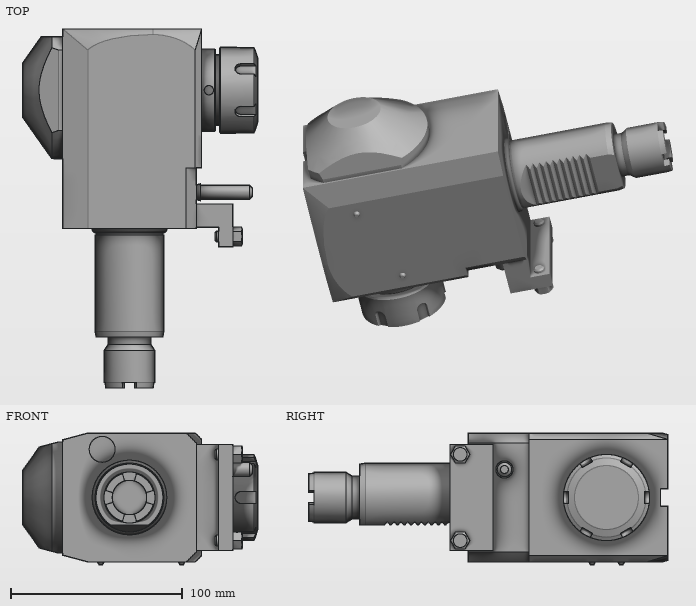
import cadquery as cq
import math


HEIGHT = 75.0
LEFT_X = -38.9
RIGHT_X = 42.0
BACK_Y = 116.2
LEFT_BEVEL_WIDTH = 14.6
BEVEL_ANGLE = math.radians(15)
RIGHT_CHAMFER = 3.8
STEP_X = 38.9
STEP_LENGTH = 35.3
STEP_CHAMFER = 5.9
SLOT_WIDTH = 10.0
SLOT_DEPTH = 4.2
CROWN_LENGTH = 12.3
CROWN_PEAK_X = 13.8
CROWN_RISE_BACK = 3.0
CROWN_RISE_FRONT = 2.7
PLUG_X = -15.9
PLUG_Z = 28.0
PLUG_RADIUS = 7.5
PLUG_DEPTH = 0.5
NUB_BASE_RADIUS = 1.9
NUB_TIP_RADIUS = 1.0
NUB_HEIGHT = 1.7
NUB_CENTRES = [(-16.7, 89.0), (30.3, 72.1)]

SPINDLE_Y = 80.5
CAP_TIP_X = -62.0
CAP_TIP_RADIUS = 15.9
CAP_RIM_X = -45.1
CAP_RADIUS = 40.0
CAP_BACK_OFFSET = 31.1
CAP_FLAT_X = -41.2
CAP_HALF_HEIGHT = 32.4
COLLAR_RADIUS = 24.0
COLLAR_END_X = 50.2
COLLAR_CHAMFER = 0.6
NECK_RADIUS = 20.7
NUT_START_X = 52.2
NUT_RADIUS = 25.0
NUT_BACK_CHAMFER = 0.8
NUT_RIM_X = 72.3
NUT_SHOULDER_X = 73.4
NUT_SHOULDER_RADIUS = 23.0
NUT_END_X = 74.6
NUT_END_RADIUS = 18.5
NUT_SLOT_COUNT = 6
NUT_SLOT_WIDTH = 7.0
NUT_SLOT_START_X = 61.5
NUT_SLOT_DEPTH = 3.0
COLLAR_HOLE_X = 46.2
COLLAR_HOLE_RADIUS = 2.7
COLLAR_HOLE_DEPTH = 2.0

SHANK_RADIUS = 20.0
FLANGE_RADIUS = 21.7
FLANGE_END = 2.5
RELIEF_END = 3.8
RELIEF_RADIUS = 19.6
SHANK_CHAMFER_START = 59.8
SHANK_END = 63.1
SHANK_END_RADIUS = 19.5
STEM_RADIUS = 12.5
STEM_END = 67.5
DRIVE_START = 71.0
DRIVE_RADIUS = 14.8
DRIVE_TAPER_START = 89.7
DRIVE_END = 92.8
DRIVE_END_RADIUS = 14.5
DRIVE_BORE_RADIUS = 10.0
DRIVE_BORE_DEPTH = 4.2
DRIVE_SLOT_ANGLE = 33
DRIVE_SLOT_COUNT = 4

FLAT_Z = -16.0
TOOTH_DEPTH = 1.9
TOOTH_PITCH = 4.0
TOOTH_COUNT = 10
FIRST_VALLEY = 11.3

PIN_Y = 21.1
PIN_Z = 16.3
PIN_RADIUS = 4.2
PIN_END_X = 71.7
PIN_TIP_CHAMFER = 1.9
PIN_BASE_RADIUS = 5.0
PIN_BASE_END_X = 41.2

BRACKET_HALF_HEIGHT = 31.0
BRACKET_END_X = 60.2
BRACKET_TOP_Y = 14.5
BRACKET_ARM_Y = 0.6
BRACKET_LEG_X = 51.8
BRACKET_LEG_Y = -10.7
SCREW_Y = -4.5
SCREW_Z = 25.0
SCREW_HEAD_DIAMETER = 11.3
SCREW_HEAD_HEIGHT = 5.6
SCREW_HEAD_CHAMFER = 0.8
SCREW_TIP_RADIUS = 3.1
SCREW_TIP_LENGTH = 2.0
SCREW_TIP_CHAMFER = 0.8

OVERLAP = 2.0

HALF_HEIGHT = HEIGHT / 2
LEFT_BEVEL_DROP = LEFT_BEVEL_WIDTH * math.tan(BEVEL_ANGLE)


def x_plane(x, y=0.0, z=0.0):
    """Plane facing +X, with local axes along Y and Z."""
    return cq.Workplane("YZ", origin=(x, y, z))


def revolve_about_x(profile, y, z=0.0):
    """Turn (x, radius) points about an axis parallel to X."""
    closed = [(profile[0][0], 0)] + profile + [(profile[-1][0], 0)]
    turned = cq.Workplane("XY").polyline(closed).close().revolve(360, (0, 0), (1, 0))
    return turned.translate((0, y, z))


def box(x_range, y_range, z_range):
    (x0, x1), (y0, y1), (z0, z1) = x_range, y_range, z_range
    return cq.Workplane("XY").box(x1 - x0, y1 - y0, z1 - z0, centered=False).translate((x0, y0, z0))


def mirrored_outline(upper):
    """Close a left-to-right upper outline with its mirror image below Z = 0."""
    return upper + [(x, -z) for x, z in reversed(upper)]


def housing_prism(right_x, chamfer, y_start, y_end):
    upper = [
        (LEFT_X, HALF_HEIGHT - LEFT_BEVEL_DROP),
        (LEFT_X + LEFT_BEVEL_WIDTH, HALF_HEIGHT),
        (right_x - chamfer, HALF_HEIGHT),
        (right_x, HALF_HEIGHT - chamfer),
    ]
    outline = cq.Workplane("XZ", origin=(0, y_start, 0)).polyline(mirrored_outline(upper)).close()
    return outline.extrude(y_start - y_end)


def crown_cutter():
    """Stock above the arched slope that joins the housing top to the back face."""
    clear_z = HALF_HEIGHT + 3 * OVERLAP

    def section(y, left, right, rise):
        peak_z = left[1] + rise

        def shoulder(corner):
            return ((corner[0] + CROWN_PEAK_X) / 2, peak_z - rise / 4)

        return (
            cq.Workplane("XZ", origin=(0, y, 0))
            .moveTo(*left)
            .threePointArc(shoulder(left), (CROWN_PEAK_X, peak_z))
            .threePointArc(shoulder(right), right)
            .lineTo(right[0], clear_z)
            .lineTo(left[0], clear_z)
            .close()
            .val()
        )

    back = section(
        BACK_Y,
        (LEFT_X, HALF_HEIGHT - LEFT_BEVEL_DROP),
        (RIGHT_X, HALF_HEIGHT - RIGHT_CHAMFER),
        CROWN_RISE_BACK,
    )
    front = section(
        BACK_Y - CROWN_LENGTH,
        (LEFT_X + LEFT_BEVEL_WIDTH, HALF_HEIGHT),
        (RIGHT_X - RIGHT_CHAMFER, HALF_HEIGHT),
        CROWN_RISE_FRONT,
    )
    return cq.Workplane(cq.Solid.makeLoft([back, front], True))


def housing():
    body = housing_prism(STEP_X, STEP_CHAMFER, 0, STEP_LENGTH)
    body = body.union(housing_prism(RIGHT_X, RIGHT_CHAMFER, STEP_LENGTH, BACK_Y))
    cutter = crown_cutter()
    body = body.cut(cutter).cut(cutter.mirror("XY"))
    body = body.cut(
        box(
            (LEFT_X - OVERLAP, RIGHT_X + OVERLAP),
            (BACK_Y - SLOT_DEPTH, BACK_Y + OVERLAP),
            (-SLOT_WIDTH / 2, SLOT_WIDTH / 2),
        )
    )
    plug_recess = cq.Workplane("XZ").center(PLUG_X, PLUG_Z).circle(PLUG_RADIUS).extrude(-PLUG_DEPTH)
    body = body.cut(plug_recess)
    for x, y in NUB_CENTRES:
        nub = cq.Solid.makeCone(
            NUB_BASE_RADIUS, NUB_TIP_RADIUS, NUB_HEIGHT, cq.Vector(x, y, -HALF_HEIGHT), cq.Vector(0, 0, -1)
        )
        body = body.union(cq.Workplane(nub))
    return body


def end_cap():
    """Cone with a flat tip, trimmed by sloping planes above and below and by a flat at the back."""
    cone = revolve_about_x(
        [(CAP_TIP_X, CAP_TIP_RADIUS), (CAP_RIM_X, CAP_RADIUS), (LEFT_X, CAP_RADIUS)], SPINDLE_Y
    )
    slope_drop = (CAP_FLAT_X - CAP_TIP_X) * math.tan(BEVEL_ANGLE)
    upper = [
        (CAP_TIP_X, CAP_HALF_HEIGHT - slope_drop),
        (CAP_FLAT_X, CAP_HALF_HEIGHT),
        (LEFT_X, CAP_HALF_HEIGHT),
    ]
    envelope = (
        cq.Workplane("XZ", origin=(0, SPINDLE_Y + CAP_BACK_OFFSET, 0))
        .polyline(mirrored_outline(upper))
        .close()
        .extrude(CAP_BACK_OFFSET + CAP_RADIUS)
    )
    return cone.intersect(envelope)


def collet_nut():
    body = revolve_about_x(
        [
            (RIGHT_X, COLLAR_RADIUS),
            (COLLAR_END_X - COLLAR_CHAMFER, COLLAR_RADIUS),
            (COLLAR_END_X, COLLAR_RADIUS - COLLAR_CHAMFER),
            (COLLAR_END_X, NECK_RADIUS),
            (NUT_START_X, NECK_RADIUS),
            (NUT_START_X, NUT_RADIUS - NUT_BACK_CHAMFER),
            (NUT_START_X + NUT_BACK_CHAMFER, NUT_RADIUS),
            (NUT_RIM_X, NUT_RADIUS),
            (NUT_SHOULDER_X, NUT_SHOULDER_RADIUS),
            (NUT_END_X, NUT_END_RADIUS),
        ],
        SPINDLE_Y,
    )
    slot_radius = NUT_SLOT_WIDTH / 2
    slot_length = NUT_END_X + OVERLAP - NUT_SLOT_START_X
    slot = (
        cq.Workplane("XZ", origin=(NUT_SLOT_START_X, -(NUT_RADIUS - NUT_SLOT_DEPTH), 0))
        .moveTo(slot_radius, slot_radius)
        .threePointArc((0, 0), (slot_radius, -slot_radius))
        .lineTo(slot_length, -slot_radius)
        .lineTo(slot_length, slot_radius)
        .close()
        .extrude(NUT_SLOT_DEPTH + OVERLAP)
    )
    for i in range(NUT_SLOT_COUNT):
        turned = slot.rotate((0, 0, 0), (1, 0, 0), i * 360 / NUT_SLOT_COUNT)
        body = body.cut(turned.translate((0, SPINDLE_Y, 0)))
    hole = (
        cq.Workplane("XY", origin=(COLLAR_HOLE_X, SPINDLE_Y, COLLAR_RADIUS - COLLAR_HOLE_DEPTH))
        .circle(COLLAR_HOLE_RADIUS)
        .extrude(COLLAR_HOLE_DEPTH + OVERLAP)
    )
    return body.cut(hole)


def tooth_cutter():
    """Space below the toothed flat: a 45 degree ramp, V grooves, then a plain flat to the end."""
    valley_z = FLAT_Z + TOOTH_DEPTH
    clear_z = -FLANGE_RADIUS - OVERLAP
    outline = [(valley_z - clear_z - FIRST_VALLEY, clear_z), (-FIRST_VALLEY, valley_z)]
    for i in range(TOOTH_COUNT):
        valley_y = -FIRST_VALLEY - i * TOOTH_PITCH
        if i > 0:
            outline.append((valley_y + TOOTH_DEPTH, FLAT_Z))
            outline.append((valley_y, valley_z))
        outline.append((valley_y - TOOTH_DEPTH, FLAT_Z))
    outline += [(-SHANK_END, FLAT_Z), (-SHANK_END, clear_z)]
    return x_plane(-SHANK_RADIUS).polyline(outline).close().extrude(2 * SHANK_RADIUS)


def shank():
    round_radius = FLANGE_RADIUS - RELIEF_RADIUS
    round_sag = round_radius * (1 - math.sqrt(0.5))
    round_middle = (FLANGE_RADIUS - round_sag, round_sag - FLANGE_END)
    outline = (
        cq.Workplane("XY")
        .lineTo(FLANGE_RADIUS, 0)
        .lineTo(FLANGE_RADIUS, round_radius - FLANGE_END)
        .threePointArc(round_middle, (RELIEF_RADIUS, -FLANGE_END))
        .lineTo(RELIEF_RADIUS, -RELIEF_END)
        .lineTo(SHANK_RADIUS, -RELIEF_END)
        .lineTo(SHANK_RADIUS, -SHANK_CHAMFER_START)
        .lineTo(SHANK_END_RADIUS, -SHANK_END)
        .lineTo(STEM_RADIUS, -SHANK_END)
        .lineTo(STEM_RADIUS, -STEM_END)
        .lineTo(DRIVE_RADIUS, -DRIVE_START)
        .lineTo(DRIVE_RADIUS, -DRIVE_TAPER_START)
        .lineTo(DRIVE_END_RADIUS, -DRIVE_END)
        .lineTo(0, -DRIVE_END)
        .close()
    )
    body = outline.revolve(360, (0, 0), (0, 1))
    body = body.cut(tooth_cutter())
    end_plane = cq.Workplane("XZ", origin=(0, -DRIVE_END, 0))
    body = body.cut(end_plane.circle(DRIVE_BORE_RADIUS).extrude(-DRIVE_BORE_DEPTH))
    slot_reach = DRIVE_RADIUS + OVERLAP
    slot_half_width = slot_reach * math.tan(math.radians(DRIVE_SLOT_ANGLE / 2))
    slot = (
        end_plane.polyline([(0, 0), (slot_reach, slot_half_width), (slot_reach, -slot_half_width)])
        .close()
        .extrude(DRIVE_TAPER_START - DRIVE_END)
    )
    for i in range(DRIVE_SLOT_COUNT):
        body = body.cut(slot.rotate((0, 0, 0), (0, 1, 0), i * 360 / DRIVE_SLOT_COUNT))
    return body


def locating_pin():
    return revolve_about_x(
        [
            (STEP_X, PIN_RADIUS),
            (PIN_BASE_END_X, PIN_BASE_RADIUS),
            (PIN_BASE_END_X, PIN_RADIUS),
            (PIN_END_X - PIN_TIP_CHAMFER, PIN_RADIUS),
            (PIN_END_X, PIN_RADIUS - PIN_TIP_CHAMFER),
        ],
        PIN_Y,
        PIN_Z,
    )


def adjusting_screw(z):
    """Hexagon head on the bracket's outer side and a chamfered tip on its inner side."""
    head = x_plane(BRACKET_END_X, SCREW_Y, z).polygon(6, SCREW_HEAD_DIAMETER).extrude(SCREW_HEAD_HEIGHT)
    corner_radius = SCREW_HEAD_DIAMETER / 2
    head_end_x = BRACKET_END_X + SCREW_HEAD_HEIGHT
    rounding = revolve_about_x(
        [
            (BRACKET_END_X, corner_radius),
            (head_end_x - SCREW_HEAD_CHAMFER, corner_radius),
            (head_end_x, corner_radius - 2 * SCREW_HEAD_CHAMFER),
        ],
        SCREW_Y,
        z,
    )
    tip_x = BRACKET_LEG_X - SCREW_TIP_LENGTH
    tip = revolve_about_x(
        [
            (tip_x, SCREW_TIP_RADIUS - SCREW_TIP_CHAMFER),
            (tip_x + SCREW_TIP_CHAMFER, SCREW_TIP_RADIUS),
            (BRACKET_LEG_X, SCREW_TIP_RADIUS),
        ],
        SCREW_Y,
        z,
    )
    return head.intersect(rounding).union(tip)


def bracket():
    outline = [
        (STEP_X, BRACKET_TOP_Y),
        (BRACKET_END_X, BRACKET_TOP_Y),
        (BRACKET_END_X, BRACKET_LEG_Y),
        (BRACKET_LEG_X, BRACKET_LEG_Y),
        (BRACKET_LEG_X, BRACKET_ARM_Y),
        (STEP_X, BRACKET_ARM_Y),
    ]
    body = cq.Workplane("XY").polyline(outline).close().extrude(BRACKET_HALF_HEIGHT, both=True)
    for z in (-SCREW_Z, SCREW_Z):
        body = body.union(adjusting_screw(z))
    return body


result = housing()
for component in (end_cap(), collet_nut(), shank(), locating_pin(), bracket()):
    result = result.union(component)